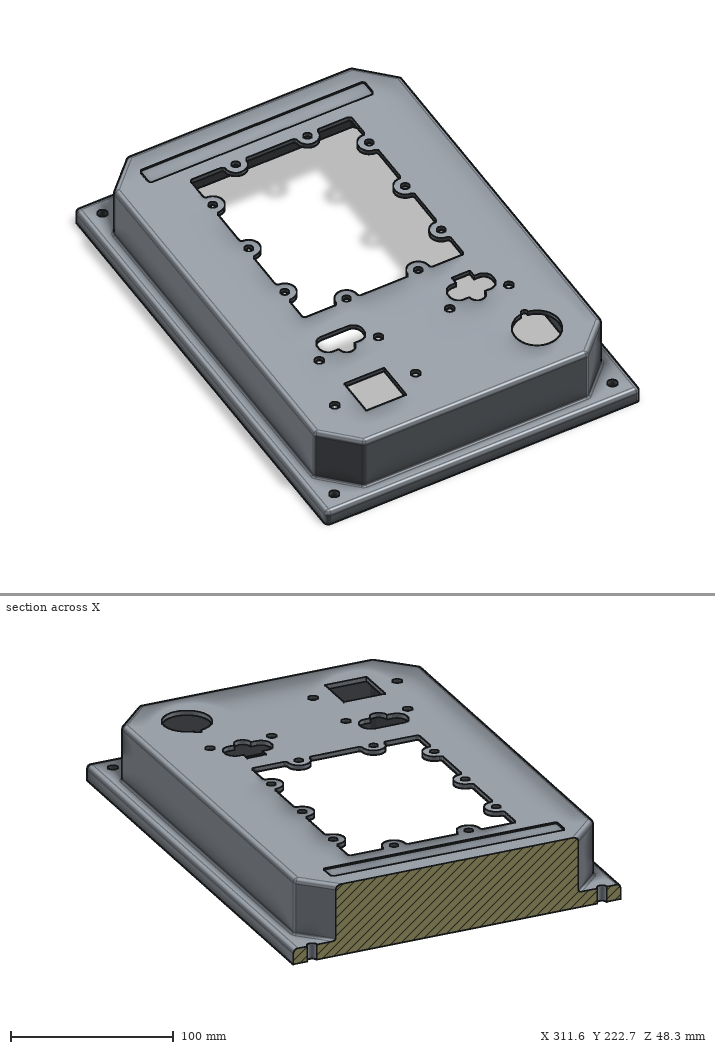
import cadquery as cq
import math

INCH = 25.4
OVERSIZE = 1.0
SELECT_MARGIN = 0.5

FLANGE_LENGTH = 311.61
FLANGE_WIDTH = 222.71
FLANGE_HEIGHT = 10.6
TOTAL_HEIGHT = 48.26
EDGE_RADIUS = INCH / 8

BOX_MARGIN = 9.525
BOX_LENGTH = FLANGE_LENGTH - 2 * BOX_MARGIN
BOX_WIDTH = FLANGE_WIDTH - 2 * BOX_MARGIN
CORNER_CUT = 22.5
BASE_FILLET = 1.5

WALL = 3.81
PLATE = INCH / 8
CAVITY_RADIUS = INCH / 8

MOUNT_HOLE_DIAMETER = 6.35
MOUNT_PITCH_X = 286.2
MOUNT_PITCH_Y = 197.1

LABEL_X = -124.4
LABEL_LENGTH = 159.0
LABEL_WIDTH = 12.7
LABEL_RADIUS = 2.0
LABEL_DEPTH = 1.0

WINDOW_X = -37.7
WINDOW_LENGTH = 140.4
WINDOW_WIDTH = 113.9
WINDOW_RADIUS = 2.0
TAB_RADIUS = 7.5
TAB_HOLE_DIAMETER = 5.41
TAB_PITCH_X = 44.45
TAB_ROW_Y = 55.4
TAB_PITCH_Y = 50.8
TAB_COLUMN_X = 68.4

CONNECTOR_X = 59.8
CONNECTOR_Y = 46.2
CONNECTOR_WIDTH = 14.9
CONNECTOR_HEIGHT = 31.8
CONNECTOR_RADIUS = 6.5
CONNECTOR_LOBE_RADIUS = 5.5
CONNECTOR_SCREW_X = 69.9
CONNECTOR_SCREW_PITCH = 41.9
CONNECTOR_SCREW_DIAMETER = 6.03
KEY_REACH = 12.8
KEY_HEIGHT = 12.7

ROUND_X = 111.5
ROUND_Y = 63.2
ROUND_RADIUS = 15.5
NOTCH_RADIUS = 2.4

INLET_X = 109.1
INLET_Y = -50.0
INLET_LENGTH = 27.4
INLET_WIDTH = 28.3
INLET_SCREW_PITCH = 57.2
INLET_SCREW_DIAMETER = 6.15


def cut_corner_block(length, width, corner_cut, height):
    """Block with its four vertical edges cut off at 45 degrees."""
    return cq.Workplane("XY").rect(length, width).extrude(height).edges("|Z").chamfer(corner_cut)


def plate_block(x, y, length, width):
    """Rectangular cutter that passes through the top plate."""
    return (
        cq.Workplane("XY", origin=(x, y, TOTAL_HEIGHT - PLATE - OVERSIZE))
        .rect(length, width)
        .extrude(PLATE + 2 * OVERSIZE)
    )


def plate_cylinder(points, radius):
    """Round cutters that pass through the top plate."""
    return (
        cq.Workplane("XY", origin=(0, 0, TOTAL_HEIGHT - PLATE - OVERSIZE))
        .pushPoints(points)
        .circle(radius)
        .extrude(PLATE + 2 * OVERSIZE)
    )


def make_shell():
    """Flange and raised box, rounded outside and hollow from below."""
    flange = (
        cq.Workplane("XY")
        .rect(FLANGE_LENGTH, FLANGE_WIDTH)
        .extrude(FLANGE_HEIGHT)
        .edges("|Z or >Z")
        .fillet(EDGE_RADIUS)
    )
    box = cut_corner_block(BOX_LENGTH, BOX_WIDTH, CORNER_CUT, TOTAL_HEIGHT)
    box = box.edges("|Z or >Z").fillet(EDGE_RADIUS)
    shell = flange.union(box)

    reach_x = BOX_LENGTH / 2 + SELECT_MARGIN
    reach_y = BOX_WIDTH / 2 + SELECT_MARGIN
    base_edges = cq.selectors.BoxSelector(
        (-reach_x, -reach_y, FLANGE_HEIGHT - SELECT_MARGIN),
        (reach_x, reach_y, FLANGE_HEIGHT + SELECT_MARGIN),
    )
    shell = shell.edges(base_edges).fillet(BASE_FILLET)

    inner_corner_cut = CORNER_CUT - (2 - math.sqrt(2)) * WALL
    cavity = cut_corner_block(
        BOX_LENGTH - 2 * WALL, BOX_WIDTH - 2 * WALL, inner_corner_cut, TOTAL_HEIGHT - PLATE
    )
    cavity = cavity.edges("|Z").fillet(CAVITY_RADIUS)
    return shell.cut(cavity)


def make_mount_holes():
    """Cutters for the holes near the four corners of the flange."""
    return (
        cq.Workplane("XY")
        .rect(MOUNT_PITCH_X, MOUNT_PITCH_Y, forConstruction=True)
        .vertices()
        .circle(MOUNT_HOLE_DIAMETER / 2)
        .extrude(FLANGE_HEIGHT + OVERSIZE)
    )


def make_label_recess():
    """Shallow rounded recess along the left of the top face."""
    return (
        cq.Workplane("XY", origin=(LABEL_X, 0, TOTAL_HEIGHT - LABEL_DEPTH))
        .rect(LABEL_WIDTH, LABEL_LENGTH)
        .extrude(LABEL_DEPTH + OVERSIZE)
        .edges("|Z")
        .fillet(LABEL_RADIUS)
    )


def tab_centers():
    """Screw positions: three on each long side, two on each short side."""
    rows = [(WINDOW_X + i * TAB_PITCH_X, side * TAB_ROW_Y) for i in (-1, 0, 1) for side in (-1, 1)]
    columns = [
        (WINDOW_X + side * TAB_COLUMN_X, end * TAB_PITCH_Y / 2) for side in (-1, 1) for end in (-1, 1)
    ]
    return rows + columns


def make_window():
    """Window cutter with the tabs left standing, plus the holes in the tabs."""
    window = plate_block(WINDOW_X, 0, WINDOW_LENGTH, WINDOW_WIDTH)
    window = window.cut(plate_cylinder(tab_centers(), TAB_RADIUS))
    window = window.edges("|Z").fillet(WINDOW_RADIUS)
    return window.union(plate_cylinder(tab_centers(), TAB_HOLE_DIAMETER / 2))


def make_connector(y):
    """Rounded connector opening with a side lobe and a screw hole at each end."""
    body = plate_block(CONNECTOR_X, y, CONNECTOR_WIDTH, CONNECTOR_HEIGHT)
    body = body.edges("|Z").fillet(CONNECTOR_RADIUS)
    lobe = plate_cylinder([(CONNECTOR_X + CONNECTOR_WIDTH / 2, y)], CONNECTOR_LOBE_RADIUS)
    screws = [(CONNECTOR_SCREW_X, y + side * CONNECTOR_SCREW_PITCH / 2) for side in (-1, 1)]
    return body.union(lobe).union(plate_cylinder(screws, CONNECTOR_SCREW_DIAMETER / 2))


def make_connector_key():
    """Rectangular relief on the left of the upper connector."""
    return plate_block(CONNECTOR_X - KEY_REACH / 2, CONNECTOR_Y, KEY_REACH, KEY_HEIGHT)


def make_round_opening():
    """Round opening with its locating notch on the left."""
    opening = plate_cylinder([(ROUND_X, ROUND_Y)], ROUND_RADIUS)
    notch = plate_cylinder([(ROUND_X - ROUND_RADIUS, ROUND_Y)], NOTCH_RADIUS)
    return opening.union(notch)


def make_inlet():
    """Rectangular inlet opening with a screw hole at each end."""
    opening = plate_block(INLET_X, INLET_Y, INLET_LENGTH, INLET_WIDTH)
    screws = [(INLET_X, INLET_Y + side * INLET_SCREW_PITCH / 2) for side in (-1, 1)]
    return opening.union(plate_cylinder(screws, INLET_SCREW_DIAMETER / 2))


result = (
    make_shell()
    .cut(make_mount_holes())
    .cut(make_label_recess())
    .cut(make_window())
    .cut(make_connector(CONNECTOR_Y))
    .cut(make_connector_key())
    .cut(make_connector(-CONNECTOR_Y))
    .cut(make_round_opening())
    .cut(make_inlet())
)